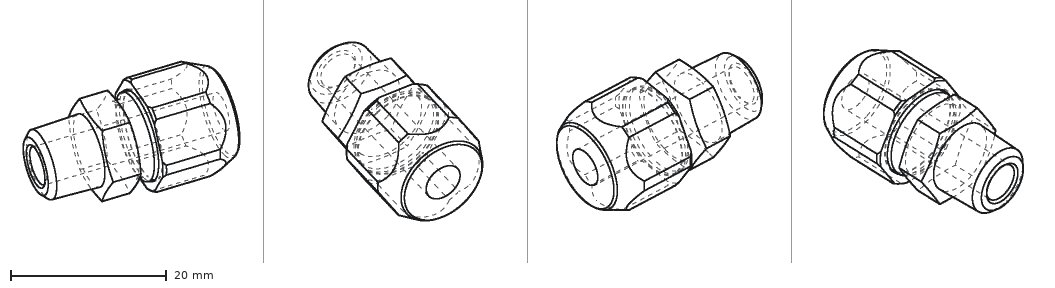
import cadquery as cq
import math

length = 26.1
thread_chamfer_end = 0.84
hex_start = 7.52
hex_end = 11.95
collar_start = 14.0
nut_start = 14.55
nut_cone_start = 22.55
nut_rim = 25.79

bore_radius = 2.55
bore_mouth_radius = 2.9
bore_chamfer = 0.35

spigot_tip_radius = 3.9
spigot_small_radius = 4.7
spigot_large_radius = 4.9

body_across_flats = 12.0
hex_corner_drop = 0.25

neck_radius = 5.22
neck_fillet = 0.55
collar_radius = 6.0
collar_cone_angle = math.radians(60)

nut_across_flats = 14.0
nut_radius = 7.65
nut_chamfer_radius = 7.45
nut_chamfer_length = 0.42
nut_shoulder_radius = 6.15
nut_end_radius = 5.85
nut_mouth_radius = 6.13
nut_mouth_depth = 0.52


def revolve(profile):
    """Turn a closed (radius, Y) profile about the Y axis."""
    return profile.close().revolve(360, (0, 0, 0), (0, 1, 0))


def hex_prism(across_flats, start, end):
    """Hexagonal bar along Y with corners on the X axis."""
    corner_diameter = across_flats / math.cos(math.pi / 6)
    base = cq.Workplane("XZ", origin=(0, start, 0))
    return base.polygon(6, corner_diameter).extrude(start - end)


def make_spigot():
    return revolve(
        cq.Workplane("XY")
        .moveTo(0, 0)
        .lineTo(spigot_tip_radius, 0)
        .lineTo(spigot_small_radius, thread_chamfer_end)
        .lineTo(spigot_large_radius, hex_start)
        .lineTo(0, hex_start)
    )


def make_body_hex():
    """Hexagon with its corners coned off at both ends."""
    flat_radius = body_across_flats / 2
    corner_radius = flat_radius / math.cos(math.pi / 6)
    envelope = revolve(
        cq.Workplane("XY")
        .moveTo(0, hex_start)
        .lineTo(flat_radius, hex_start)
        .lineTo(corner_radius, hex_start + hex_corner_drop)
        .lineTo(corner_radius, hex_end - hex_corner_drop)
        .lineTo(flat_radius, hex_end)
        .lineTo(0, hex_end)
    )
    return hex_prism(body_across_flats, hex_start, hex_end).intersect(envelope)


def make_neck():
    """Neck with a fillet at the hexagon and a filleted cone up to the collar."""
    fillet_center = neck_radius + neck_fillet
    cone_start_radius = fillet_center - neck_fillet * math.cos(collar_cone_angle)
    cone_length = (collar_radius - cone_start_radius) / math.tan(collar_cone_angle)
    cone_start = collar_start - cone_length
    fillet_start = cone_start - neck_fillet * math.sin(collar_cone_angle)
    half_angle = collar_cone_angle / 2
    cone_fillet_mid = (
        fillet_center - neck_fillet * math.cos(half_angle),
        fillet_start + neck_fillet * math.sin(half_angle),
    )
    hex_fillet_mid = (
        fillet_center - neck_fillet * math.cos(math.pi / 4),
        hex_end + neck_fillet * (1 - math.sin(math.pi / 4)),
    )
    return revolve(
        cq.Workplane("XY")
        .moveTo(0, hex_end)
        .lineTo(fillet_center, hex_end)
        .threePointArc(hex_fillet_mid, (neck_radius, hex_end + neck_fillet))
        .lineTo(neck_radius, fillet_start)
        .threePointArc(cone_fillet_mid, (cone_start_radius, cone_start))
        .lineTo(collar_radius, collar_start)
        .lineTo(collar_radius, nut_start)
        .lineTo(0, nut_start)
    )


def make_nut():
    """Hexagonal nut with turned corners and a long conical end."""
    envelope = revolve(
        cq.Workplane("XY")
        .moveTo(0, nut_start)
        .lineTo(nut_chamfer_radius, nut_start)
        .lineTo(nut_radius, nut_start + nut_chamfer_length)
        .lineTo(nut_radius, nut_cone_start)
        .lineTo(nut_shoulder_radius, nut_rim)
        .lineTo(nut_end_radius, length)
        .lineTo(0, length)
    )
    return hex_prism(nut_across_flats, nut_start, length).intersect(envelope)


def make_nut_mouth_gap():
    """Narrow annular clearance between the collar and the mouth of the nut."""
    return (
        cq.Workplane("XZ", origin=(0, nut_start, 0))
        .circle(nut_mouth_radius)
        .circle(collar_radius)
        .extrude(-nut_mouth_depth)
    )


def make_bore():
    """Through bore, chamfered at the spigot mouth."""
    return revolve(
        cq.Workplane("XY")
        .moveTo(0, 0)
        .lineTo(bore_mouth_radius, 0)
        .lineTo(bore_radius, bore_chamfer)
        .lineTo(bore_radius, length)
        .lineTo(0, length)
    )


solid_body = make_spigot().union(make_body_hex()).union(make_neck()).union(make_nut())
result = solid_body.cut(make_nut_mouth_gap()).cut(make_bore())